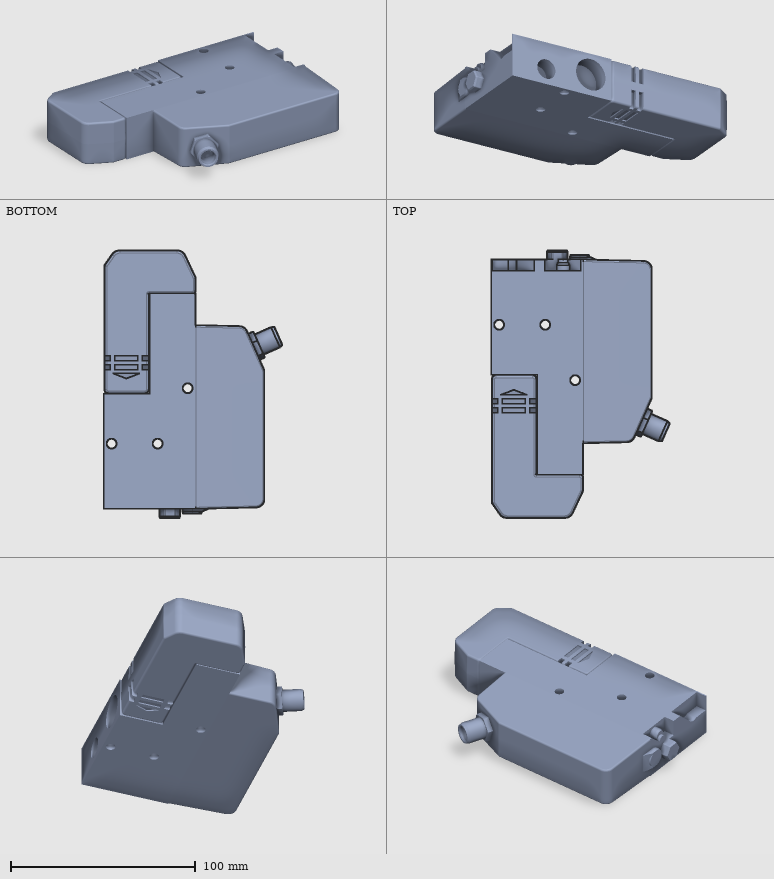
import cadquery as cq
import math


overall_length = 145
thickness = 25.0
half_thickness = thickness / 2

block_width = 49.9
block_top = 140.1
block_foot = 23.3
step_x = 25.0
step_y = 77.6
pin_hole_dia = 5.2
pin_holes = [(4.4, 104.7), (29.3, 104.7), (45.5, 74.7)]
side_hole_depth = 9.7
small_side_hole = (118.8, -3.5, 11.5)
large_side_hole = (90.6, 0, 18.5)

pocket_depth = 6.1
pocket_floor_z = 2.9
pocket_left_1 = 0.7
pocket_right_1 = 23.3
pocket_left_2 = 29.1
pocket_right_2 = 48.6
trough_radius = 4.0
trough_x = 11.5

stud_x = 39.0
stud_z = 7.7
stud_dia = 7.0
stud_length = 4.4
stud_chamfer_radial = 0.6
stud_chamfer_axial = 1.3
neck_z = 5.7
neck_dia = 5.2

plug_x = 35.8
plug_flats = 10.0
plug_height = overall_length - block_top
plug_edge_radius = 0.7
plug_chamfer_radial = 0.5
plug_chamfer_axial = 1.0

cap_dia = 10.7
cap_x = 48.0
cap_z = -0.3
cap_height = 2.5
cap_flat_length = 3.2
cap_ramp_length = 5.4
cap_chamfer_radial = 0.5
cap_chamfer_axial = 1.2

cover_left = 0.5
cover_right = 49.9
cover_inner = 24.5
cover_top = 77.5
cover_shoulder = 23.6
cover_left_corner = 8.1
cover_left_toe = 6.1
cover_right_corner = 14.8
cover_right_toe = 42.9
cover_toe_radius = 5.0
cover_corner_radius = 1.9
cover_blend_radius = 1.2
cover_edge_radius = 1.2
cover_draft = 1.0

groove_width = 2.8
groove_centres = [63.2, 58.5]
groove_left_end = 3.5
groove_right_start = 20.9
groove_inner_z = 2.5
slot_length = 12.5
slot_x = 12.3
mark_depth = 0.7
arrow_width = 14.2
arrow_base_y = 66.7
arrow_height = 2.8

housing_right = 87.2
housing_bottom = 40.5
housing_draft = 1.3
housing_upper_radius = 4.8
housing_lower_radius = 4.8
housing_edge_radius = 1.0
slant_start_y = 65.1
slant_angle = 24

connector_along = 14.0
connector_dia = 12.0
connector_tip_dia = 10.7
connector_chamfer = 1.7
connector_length = 14.5
connector_bore_dia = 8.0
connector_mouth_dia = 9.0
connector_bore_depth = 8.7
nut_flats = 13.8
nut_height = 3.0
nut_turn = 13
nut_chamfer = 0.5

overlap = 1.5


def end_plane(x, y, z):
    """Plane facing +Y, with local x along +X and local y along -Z."""
    return cq.Plane(origin=(x, y, z), xDir=(1, 0, 0), normal=(0, 1, 0))


def across_corners(flats):
    return flats / math.cos(math.radians(30))


def end_pocket(left, right):
    """Notch open to the top and end, flat on the left with a 45 degree wall on the right."""
    slope_foot = right - (half_thickness - pocket_floor_z)
    return (
        cq.Workplane(end_plane(0, block_top - pocket_depth, 0))
        .polyline([
            (left, -half_thickness),
            (left, -pocket_floor_z),
            (slope_foot, -pocket_floor_z),
            (right, -half_thickness),
        ])
        .close()
        .extrude(pocket_depth)
    )


def end_trough():
    """Round trough at the foot of the first pocket's wall, tangent to that wall."""
    wall_rise = pocket_right_1 - trough_x
    trough_z = half_thickness - wall_rise + trough_radius * math.sqrt(2)
    return (
        cq.Workplane(end_plane(trough_x, block_top - pocket_depth, trough_z))
        .circle(trough_radius)
        .extrude(pocket_depth)
    )


def side_hole(y, z, diameter):
    return cq.Workplane("YZ").center(y, z).circle(diameter / 2).extrude(side_hole_depth)


def make_block():
    block = (
        cq.Workplane("XY", origin=(0, 0, -half_thickness))
        .polyline([
            (0, block_top),
            (block_width, block_top),
            (block_width, block_foot),
            (step_x, block_foot),
            (step_x, step_y),
            (0, step_y),
        ])
        .close()
        .extrude(thickness)
    )
    pins = (
        cq.Workplane("XY", origin=(0, 0, -half_thickness))
        .pushPoints(pin_holes)
        .circle(pin_hole_dia / 2)
        .extrude(thickness)
    )
    block = block.cut(pins)
    block = block.cut(side_hole(*small_side_hole)).cut(side_hole(*large_side_hole))
    block = block.cut(end_pocket(pocket_left_1, pocket_right_1)).cut(end_trough())
    return block.cut(end_pocket(pocket_left_2, pocket_right_2))


def make_stud():
    pocket_wall = block_top - pocket_depth
    head = (
        cq.Workplane(end_plane(stud_x, pocket_wall - overlap, stud_z))
        .circle(stud_dia / 2)
        .extrude(overlap + stud_length)
        .faces(">Y")
        .chamfer(stud_chamfer_axial, stud_chamfer_radial)
    )
    neck = (
        cq.Workplane(end_plane(stud_x, pocket_wall, neck_z))
        .circle(neck_dia / 2)
        .extrude(pocket_depth)
    )
    return head.union(neck)


def make_plug():
    plug_z = pocket_floor_z - plug_flats / 2
    return (
        cq.Workplane(end_plane(plug_x, block_top - overlap, plug_z))
        .polygon(6, across_corners(plug_flats))
        .extrude(overlap + plug_height)
        .edges("|Y")
        .fillet(plug_edge_radius)
        .faces(">Y")
        .chamfer(plug_chamfer_axial, plug_chamfer_radial)
    )


def make_cap():
    """Round cap drawn out to a flat that ramps down to the end face."""
    disc = (
        cq.Workplane(end_plane(cap_x, block_top - overlap, cap_z))
        .circle(cap_dia / 2)
        .extrude(overlap + cap_height)
        .faces(">Y")
        .chamfer(cap_chamfer_axial, cap_chamfer_radial)
    )
    flat_end = cap_x + cap_flat_length
    lever = (
        cq.Workplane("XY", origin=(0, 0, cap_z - cap_dia / 2))
        .polyline([
            (cap_x, block_top - overlap),
            (cap_x, block_top + cap_height),
            (flat_end, block_top + cap_height),
            (flat_end + cap_ramp_length, block_top),
            (flat_end + cap_ramp_length, block_top - overlap),
        ])
        .close()
        .extrude(cap_dia)
    )
    for side in (-1, 1):
        edge_z = cap_z + side * cap_dia / 2
        bevel = (
            cq.Workplane("YZ", origin=(cap_x, 0, 0))
            .polyline([
                (block_top + cap_height, edge_z),
                (block_top + cap_height - cap_chamfer_axial, edge_z),
                (block_top + cap_height, edge_z - side * cap_chamfer_radial),
            ])
            .close()
            .extrude(cap_flat_length + cap_ramp_length)
        )
        lever = lever.cut(bevel)
    return disc.union(lever)


def round_corner(solid, corner, radius):
    """Fillet the upright edge that starts at a corner of the parting-plane outline."""
    x, y = corner
    reach = 0.6
    low = (x - reach, y - reach, half_thickness / 4)
    high = (x + reach, y + reach, half_thickness * 3 / 4)
    return solid.edges(cq.selectors.BoxSelector(low, high)).fillet(radius)


def make_cover_half():
    top_left = (cover_left, cover_top)
    top_right = (cover_inner, cover_top)
    inside = (cover_inner, cover_shoulder)
    shoulder = (cover_right, cover_shoulder)
    left_corner = (cover_left, cover_left_corner)
    right_corner = (cover_right, cover_right_corner)
    left_toe = (cover_left_toe, 0)
    right_toe = (cover_right_toe, 0)
    outline = [
        top_left,
        top_right,
        inside,
        shoulder,
        right_corner,
        right_toe,
        left_toe,
        left_corner,
    ]
    half = cq.Workplane("XY").polyline(outline).close().extrude(half_thickness, taper=cover_draft)
    for corner in (top_left, top_right, shoulder):
        half = round_corner(half, corner, cover_corner_radius)
    for corner in (left_corner, right_corner):
        half = round_corner(half, corner, cover_blend_radius)
    for corner in (left_toe, right_toe):
        half = round_corner(half, corner, cover_toe_radius)
    half = half.faces(">Z").edges().fillet(cover_edge_radius)
    return cut_grip(half)


def cut_grip(half):
    groove_height = half_thickness - groove_inner_z
    for y in groove_centres:
        for start, end in ((0, groove_left_end), (groove_right_start, step_x)):
            groove = cq.Workplane("XY", origin=((start + end) / 2, y, groove_inner_z)).box(
                end - start, groove_width, groove_height, centered=(True, True, False)
            )
            half = half.cut(groove)
        slot = cq.Workplane("XY", origin=(slot_x, y, half_thickness - mark_depth))
        half = half.cut(slot.rect(slot_length, groove_width).extrude(mark_depth))
    arrow = (
        cq.Workplane("XY", origin=(0, 0, half_thickness - mark_depth))
        .polyline([
            (slot_x - arrow_width / 2, arrow_base_y),
            (slot_x + arrow_width / 2, arrow_base_y),
            (slot_x, arrow_base_y + arrow_height),
        ])
        .close()
        .extrude(mark_depth)
    )
    return half.cut(arrow)


def make_cover():
    half = make_cover_half()
    return half.union(half.mirror("XY"))


slant = math.radians(slant_angle)
slant_normal = cq.Vector(math.cos(slant), -math.sin(slant), 0)
slant_down = cq.Vector(-math.sin(slant), -math.cos(slant), 0)
slant_start = cq.Vector(housing_right, slant_start_y, 0)


def make_housing():
    """Box drafted toward +X with its lower right corner cut on the slant."""
    height = block_top - housing_bottom
    housing = (
        cq.Workplane("YZ", origin=(block_width, housing_bottom + height / 2, 0))
        .rect(height, thickness)
        .extrude(housing_right - block_width, taper=housing_draft)
    )
    slant_plane = cq.Plane(
        origin=slant_start.toTuple(),
        xDir=slant_down.toTuple(),
        normal=slant_normal.toTuple(),
    )
    beyond_slant = cq.Workplane(slant_plane).rect(overall_length, overall_length).extrude(overall_length)
    housing = housing.cut(beyond_slant)
    housing = housing.faces(">Y").edges(">X").fillet(housing_upper_radius)
    housing = housing.faces("<Y").edges(">X").fillet(housing_lower_radius)
    return housing.faces(">Z or <Z").edges("not <X").fillet(housing_edge_radius)


def make_connector():
    base = slant_start + slant_down * connector_along
    plane = cq.Plane(
        origin=(base - slant_normal * overlap).toTuple(),
        xDir=slant_down.toTuple(),
        normal=slant_normal.toTuple(),
    )
    nut_length = overlap + nut_height
    barrel_length = overlap + connector_length
    nut_dia = across_corners(nut_flats)
    nut = (
        cq.Workplane(plane)
        .transformed(rotate=(0, 0, nut_turn))
        .polygon(6, nut_dia)
        .extrude(nut_length)
    )
    outer_end = cq.selectors.DirectionMinMaxSelector(slant_normal)
    nut_bevel = (
        cq.Workplane(plane)
        .circle(nut_dia / 2)
        .extrude(nut_length)
        .faces(outer_end)
        .chamfer(nut_chamfer)
    )
    barrel = (
        cq.Workplane(plane)
        .circle(connector_dia / 2)
        .extrude(barrel_length - connector_chamfer)
        .faces(outer_end)
        .workplane()
        .circle(connector_dia / 2)
        .workplane(offset=connector_chamfer)
        .circle(connector_tip_dia / 2)
        .loft()
    )
    bore = (
        cq.Workplane(plane)
        .workplane(offset=barrel_length - connector_bore_depth)
        .circle(connector_bore_dia / 2)
        .extrude(connector_bore_depth)
    )
    mouth_depth = (connector_mouth_dia - connector_bore_dia) / 2
    mouth = (
        cq.Workplane(plane)
        .workplane(offset=barrel_length - mouth_depth)
        .circle(connector_bore_dia / 2)
        .workplane(offset=mouth_depth)
        .circle(connector_mouth_dia / 2)
        .loft()
    )
    return nut.intersect(nut_bevel).union(barrel).cut(bore).cut(mouth)


result = make_block()
for piece in (make_stud(), make_plug(), make_cap(), make_cover(), make_housing(), make_connector()):
    result = result.union(piece)